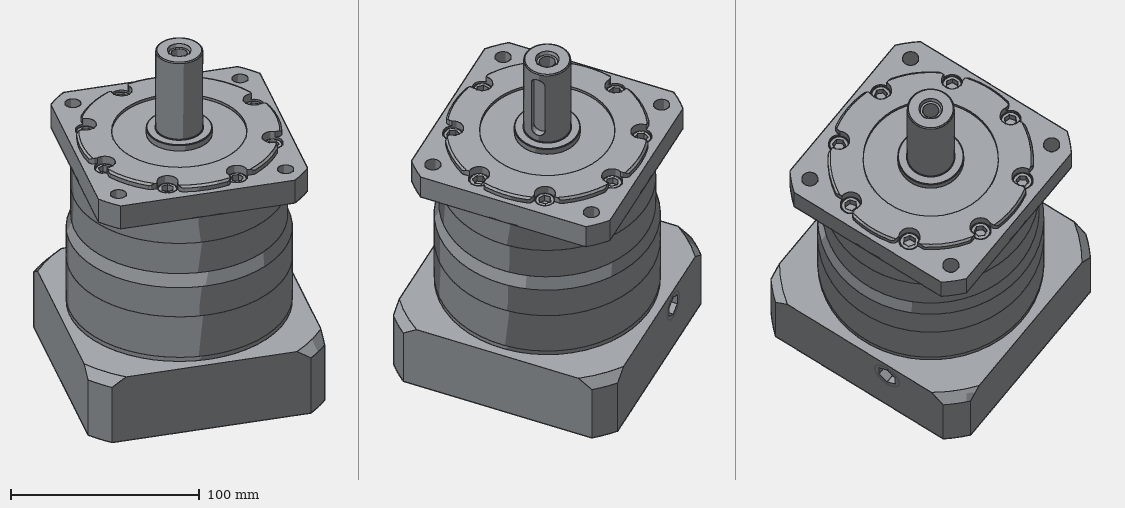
import cadquery as cq
import math

TOLERANCE = 0.02

TOTAL_HEIGHT = 198.0
ADAPTER_BLOCK_TOP = 40.2
ADAPTER_TOP = 42.8
INPUT_HOUSING_TOP = 68.3
CONE_BOTTOM = 86.7
CONE_TOP = 94.0
RING_HOUSING_TOP = 113.0
FLANGE_BOTTOM = 129.0
FLANGE_TOP = 143.5
COVER_TOP = 147.1

LARGE_DIAMETER = 120.0
SMALL_DIAMETER = 115.0

ADAPTER_WIDTH = 130.0
ADAPTER_CORNER_DIAMETER = 169.9
CORNER_BEVEL_HEIGHT = 5.3
CORNER_BEVEL_INSET = 4.8

PLUG_DIAMETER = 16.0
PLUG_Y = -18.0
PLUG_Z = 29.3
PLUG_LENGTH = 8.0
PLUG_HEX_FLATS = 10.7
PLUG_HEX_DEPTH = 6.0

FLANGE_CORNER_DIAMETER = 149.7
MOUNT_HOLE_SPACING = 91.9
MOUNT_HOLE_DIAMETER = 8.5

COVER_DIAMETER = 108.9
COVER_CHAMFER = 1.2
COVER_RECESS_DIAMETER = 71.7
COVER_RECESS_DEPTH = 1.5

SCREW_COUNT = 8
SCREW_CIRCLE_DIAMETER = 99.8
SCREW_FIRST_ANGLE = 22.5
SCREW_BORE_DIAMETER = 11.0
SCREW_HEAD_DIAMETER = 9.9
SCREW_BORE_DEPTH = 1.4
SCREW_HEAD_SINK = 0.8
SCREW_HEX_FLATS = 6.0
SCREW_HEX_DEPTH = 4.0
SCREW_HEX_TURN = 7.5
NOTCH_SIDE = 14.3
NOTCH_FLOOR = 46.3
LOBE_CORNER_RADIUS = 3.0

SHAFT_DIAMETER = 25.0
SHAFT_TIP_CHAMFER = 0.5
SHAFT_FOOT_DIAMETER = 25.7
SHAFT_FOOT_TOP = 149.7
COLLAR_DIAMETER = 35.0
COLLAR_TOP = 149.3
COLLAR_CHAMFER = 0.4

CENTRE_MOUTH_DIAMETER = 12.5
CENTRE_SEAT_DIAMETER = 11.0
CENTRE_SEAT_DEPTH = 2.0
CENTRE_HOLE_DIAMETER = 8.5
CENTRE_HOLE_DEPTH = 23.8
CENTRE_TIP_ANGLE = 118.0

KEYWAY_WIDTH = 8.0
KEYWAY_DEPTH = 4.0
KEYWAY_BOTTOM = 153.6
KEYWAY_TOP = 193.5


def cylinder(diameter, bottom, top):
    """Cylinder about the Z axis between two levels."""
    return cq.Workplane("XY").workplane(offset=bottom).circle(diameter / 2).extrude(top - bottom)


def turned(profile):
    """Solid of revolution about Z from a closed list of (radius, z) points."""
    return cq.Workplane("XZ").polyline(profile).close().revolve(360, (0, 0, 0), (0, 1, 0))


def hexagon_diameter(flats):
    """Corner-to-corner diameter of a hexagon with the given width across flats."""
    return flats / math.cos(math.pi / 6)


def square_block(width, bottom, top):
    """Square block centred on the Z axis between two levels."""
    return cq.Workplane("XY").workplane(offset=bottom).rect(width, width).extrude(top - bottom)


def make_motor_adapter():
    corner_radius = ADAPTER_CORNER_DIAMETER / 2
    corner_envelope = turned([
        (0, 0),
        (corner_radius, 0),
        (corner_radius, ADAPTER_BLOCK_TOP - CORNER_BEVEL_HEIGHT),
        (corner_radius - CORNER_BEVEL_INSET, ADAPTER_BLOCK_TOP),
        (0, ADAPTER_BLOCK_TOP),
    ])
    block = square_block(ADAPTER_WIDTH, 0, ADAPTER_BLOCK_TOP).intersect(corner_envelope)
    adapter = block.union(cylinder(LARGE_DIAMETER, 0, ADAPTER_TOP))
    return add_access_plug(adapter)


def add_access_plug(adapter):
    """Fill a round bore in the -X side with a flush plug that has a hexagon socket."""
    side = cq.Workplane(cq.Plane((-ADAPTER_WIDTH / 2, PLUG_Y, PLUG_Z), (0, 0, 1), (-1, 0, 0)))
    bore = side.circle(PLUG_DIAMETER / 2).extrude(-PLUG_LENGTH)
    socket = side.polygon(6, hexagon_diameter(PLUG_HEX_FLATS)).extrude(-PLUG_HEX_DEPTH)
    return adapter.cut(bore).union(bore.cut(socket), clean=False)


def make_input_housing():
    return cylinder(LARGE_DIAMETER, ADAPTER_TOP, INPUT_HOUSING_TOP)


def make_ring_gear_housing():
    return turned([
        (0, INPUT_HOUSING_TOP),
        (LARGE_DIAMETER / 2, INPUT_HOUSING_TOP),
        (LARGE_DIAMETER / 2, CONE_BOTTOM),
        (SMALL_DIAMETER / 2, CONE_TOP),
        (SMALL_DIAMETER / 2, RING_HOUSING_TOP),
        (0, RING_HOUSING_TOP),
    ])


def make_flange():
    neck = cylinder(SMALL_DIAMETER, RING_HOUSING_TOP, FLANGE_BOTTOM)
    corner_envelope = cylinder(FLANGE_CORNER_DIAMETER, FLANGE_BOTTOM, FLANGE_TOP)
    plate = square_block(SMALL_DIAMETER, FLANGE_BOTTOM, FLANGE_TOP).intersect(corner_envelope)
    mount_holes = (
        cq.Workplane("XY").workplane(offset=FLANGE_BOTTOM)
        .rect(MOUNT_HOLE_SPACING, MOUNT_HOLE_SPACING, forConstruction=True)
        .vertices()
        .circle(MOUNT_HOLE_DIAMETER / 2)
        .extrude(FLANGE_TOP - FLANGE_BOTTOM)
    )
    return neck.union(plate.cut(mount_holes))


def screw_angles():
    return [SCREW_FIRST_ANGLE + i * 360 / SCREW_COUNT for i in range(SCREW_COUNT)]


def screw_place(angle):
    """Workplane on the flange face at one screw, its x axis along +X."""
    radius = SCREW_CIRCLE_DIAMETER / 2
    x = radius * math.cos(math.radians(angle))
    y = radius * math.sin(math.radians(angle))
    return cq.Workplane("XY", origin=(x, y, FLANGE_TOP))


def make_cover():
    """Disc with eight rounded lobes, a bevelled rim and a round recess in its top."""
    radius = COVER_DIAMETER / 2
    bevelled_disc = turned([
        (0, FLANGE_TOP),
        (radius, FLANGE_TOP),
        (radius, COVER_TOP - COVER_CHAMFER),
        (radius - COVER_CHAMFER, COVER_TOP),
        (0, COVER_TOP),
    ])
    lobes = cylinder(COVER_DIAMETER, FLANGE_TOP, COVER_TOP).cut(make_notch_openings())
    lobe_corners = lobes.edges("|Z").filter(is_lobe_corner)
    recess = cylinder(COVER_RECESS_DIAMETER, COVER_TOP - COVER_RECESS_DEPTH, COVER_TOP)
    return lobe_corners.fillet(LOBE_CORNER_RADIUS).intersect(bevelled_disc).cut(recess)


def is_lobe_corner(edge):
    """True for an upright edge on the cover rim where a notch side meets the rim."""
    place = edge.Center()
    on_rim = abs(math.hypot(place.x, place.y) - COVER_DIAMETER / 2) < TOLERANCE
    return on_rim and min(abs(place.x), abs(place.y)) > TOLERANCE


def make_notch_openings():
    """Square-sided openings that run from the screw notches out to the cover rim."""
    size = COVER_DIAMETER / 2
    opening = (
        cq.Workplane("XY", origin=(NOTCH_SIDE, NOTCH_FLOOR, FLANGE_TOP))
        .rect(size, size, centered=False)
        .extrude(COVER_TOP - FLANGE_TOP)
    )
    pair = opening.union(opening.mirror("YZ"))
    openings = pair
    for quarter in range(1, 4):
        openings = openings.union(pair.rotate((0, 0, 0), (0, 0, 1), 90 * quarter))
    return openings


def add_screws(body):
    """Sink a bore for each screw through the cover edge, then shape the screw head in it."""
    for angle in screw_angles():
        place = screw_place(angle)
        head = place.workplane(offset=-SCREW_HEAD_SINK)
        bore = (
            place.workplane(offset=COVER_TOP - FLANGE_TOP)
            .circle(SCREW_BORE_DIAMETER / 2)
            .extrude(FLANGE_TOP - COVER_TOP - SCREW_BORE_DEPTH)
        )
        head_rim = head.circle(SCREW_HEAD_DIAMETER / 2).extrude(SCREW_HEAD_SINK - SCREW_BORE_DEPTH)
        socket = (
            head.transformed(rotate=(0, 0, angle + SCREW_HEX_TURN))
            .polygon(6, hexagon_diameter(SCREW_HEX_FLATS))
            .extrude(-SCREW_HEX_DEPTH)
        )
        body = body.cut(bore.cut(head_rim)).cut(socket)
    return body


def make_shaft():
    """Collar, foot and journal turned in one piece, standing on the recess floor."""
    base = COVER_TOP - COVER_RECESS_DEPTH
    shaft = turned([
        (0, base),
        (COLLAR_DIAMETER / 2, base),
        (COLLAR_DIAMETER / 2, COLLAR_TOP - COLLAR_CHAMFER),
        (COLLAR_DIAMETER / 2 - COLLAR_CHAMFER, COLLAR_TOP),
        (SHAFT_FOOT_DIAMETER / 2, COLLAR_TOP),
        (SHAFT_DIAMETER / 2, SHAFT_FOOT_TOP),
        (SHAFT_DIAMETER / 2, TOTAL_HEIGHT - SHAFT_TIP_CHAMFER),
        (SHAFT_DIAMETER / 2 - SHAFT_TIP_CHAMFER, TOTAL_HEIGHT),
        (0, TOTAL_HEIGHT),
    ])
    return shaft.cut(make_centre_hole()).cut(make_keyway())


def make_centre_hole():
    hole_radius = CENTRE_HOLE_DIAMETER / 2
    hole_bottom = TOTAL_HEIGHT - CENTRE_HOLE_DEPTH
    seat = TOTAL_HEIGHT - CENTRE_SEAT_DEPTH
    tip_height = hole_radius / math.tan(math.radians(CENTRE_TIP_ANGLE / 2))
    return turned([
        (0, hole_bottom - tip_height),
        (hole_radius, hole_bottom),
        (hole_radius, seat),
        (CENTRE_SEAT_DIAMETER / 2, seat),
        (CENTRE_MOUTH_DIAMETER / 2, TOTAL_HEIGHT),
        (0, TOTAL_HEIGHT),
    ])


def make_keyway():
    surface = SHAFT_DIAMETER / 2
    middle = (KEYWAY_BOTTOM + KEYWAY_TOP) / 2
    return (
        cq.Workplane("XZ", origin=(0, surface, middle))
        .slot2D(KEYWAY_TOP - KEYWAY_BOTTOM, KEYWAY_WIDTH, 90)
        .extrude(KEYWAY_DEPTH)
    )


def make_output_unit():
    return add_screws(make_flange().union(make_cover()).union(make_shaft()))


motor_adapter = make_motor_adapter()
input_housing = make_input_housing()
ring_gear_housing = make_ring_gear_housing()
output_unit = make_output_unit()

result = cq.Compound.makeCompound([
    motor_adapter.val(),
    input_housing.val(),
    ring_gear_housing.val(),
    output_unit.val(),
])